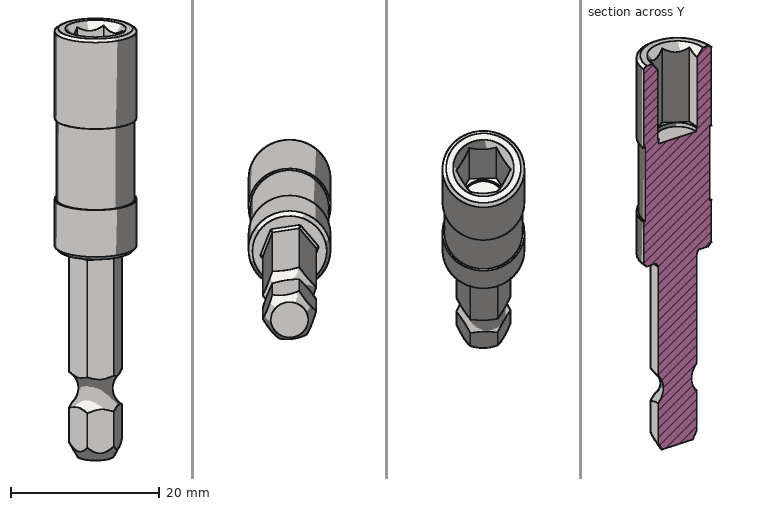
import cadquery as cq
import math

length = 60.0
sleeve_diameter = 11.1
sleeve_radius = sleeve_diameter / 2
hex_across_flats = 6.35
hex_corner_radius = hex_across_flats / math.sqrt(3)

sleeve_bottom = 29.0
sleeve_top_chamfer_width = 0.51
sleeve_top_chamfer_height = 0.35
sleeve_bottom_chamfer = 0.55
grip_radius = 5.3
grip_bottom = 36.05
grip_top = 47.45

neck_bottom = 28.45
neck_flare = 0.3

groove_center = 9.5
groove_radius = 2.35
groove_half_width = 2.5
tip_radius = 2.5
tip_height = 2.1

socket_mouth_diameter = 8.2
socket_mouth_depth = 1.2
socket_depth = 12.0
magnet_radius = 3.0
magnet_depth = 0.6


def hexagon(height, draft=0):
    """Hexagonal prism with two corners on the Y axis, widening upward by the draft angle."""
    prism = cq.Workplane("XY").polygon(6, 2 * hex_corner_radius).extrude(height, taper=-draft)
    return prism.rotate((0, 0, 0), (0, 0, 1), 90)


def revolve_about_z(profile):
    """Turn a closed profile drawn as (radius, height) about the Z axis."""
    return profile.close().revolve(360, (0, 0, 0), (0, 1, 0))


def make_sleeve():
    """Round sleeve with chamfered ends and a slightly thinner grip band."""
    profile = cq.Workplane("XZ").polyline([
        (0, sleeve_bottom),
        (sleeve_radius - sleeve_bottom_chamfer, sleeve_bottom),
        (sleeve_radius, sleeve_bottom + sleeve_bottom_chamfer),
        (sleeve_radius, grip_bottom),
        (grip_radius, grip_bottom),
        (grip_radius, grip_top),
        (sleeve_radius, grip_top),
        (sleeve_radius, length - sleeve_top_chamfer_height),
        (sleeve_radius - sleeve_top_chamfer_width, length),
        (0, length),
    ])
    return revolve_about_z(profile)


def make_shank():
    """Hexagonal shank trimmed by a turned envelope: tapered tip and round snap groove."""
    envelope = (
        cq.Workplane("XZ")
        .moveTo(0, 0)
        .lineTo(tip_radius, 0)
        .lineTo(hex_corner_radius, tip_height)
        .lineTo(hex_corner_radius, groove_center - groove_half_width)
        .threePointArc(
            (groove_radius, groove_center),
            (hex_corner_radius, groove_center + groove_half_width),
        )
        .lineTo(hex_corner_radius, sleeve_bottom)
        .lineTo(0, sleeve_bottom)
    )
    return hexagon(sleeve_bottom).intersect(revolve_about_z(envelope))


def make_neck():
    """Hexagonal neck that flares from the shank to the underside of the sleeve."""
    height = sleeve_bottom - neck_bottom
    draft = math.degrees(math.atan2(neck_flare, height))
    return hexagon(height, draft).translate((0, 0, neck_bottom))


def make_socket():
    """Hexagonal socket with a conical mouth and a round magnet recess in its floor."""
    floor = length - socket_depth
    hex_hole = hexagon(socket_depth).translate((0, 0, floor))
    mouth = revolve_about_z(cq.Workplane("XZ").polyline([
        (0, length - socket_mouth_depth),
        (hex_across_flats / 2, length - socket_mouth_depth),
        (socket_mouth_diameter / 2, length),
        (0, length),
    ]))
    magnet = (
        cq.Workplane("XY", origin=(0, 0, floor - magnet_depth))
        .circle(magnet_radius)
        .extrude(magnet_depth)
    )
    return hex_hole.union(mouth).union(magnet)


result = make_sleeve().union(make_neck()).union(make_shank()).cut(make_socket())